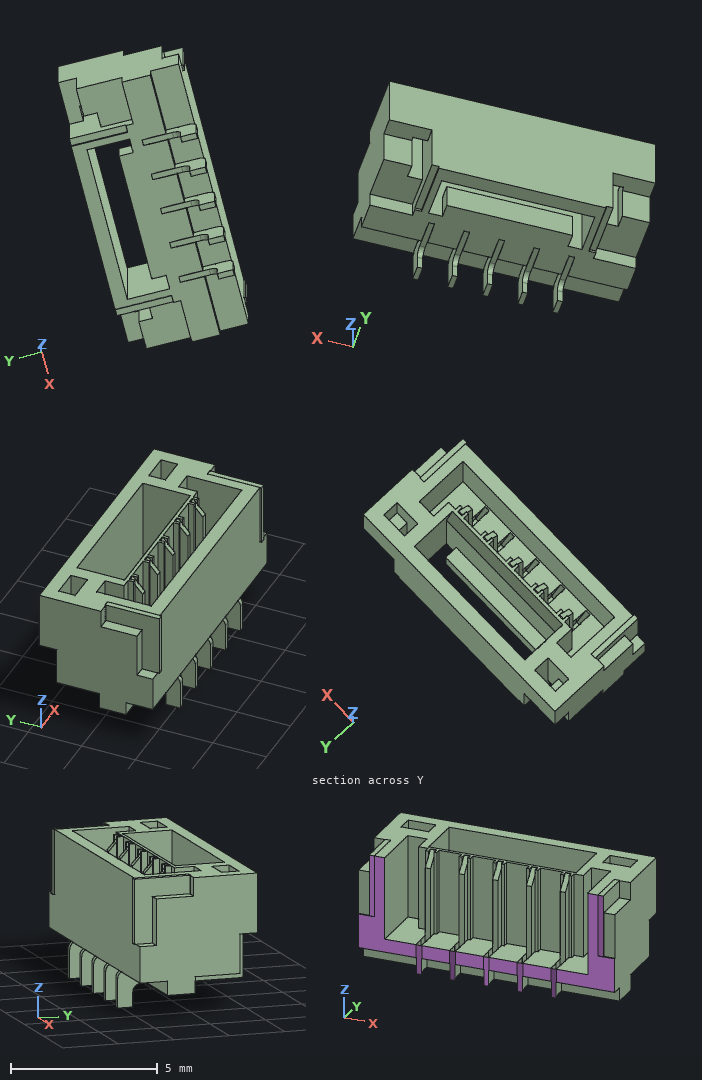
import cadquery as cq


LENGTH = 9.5
DEPTH = 4.25
HEIGHT = 4.05
WALL = 0.5
FLOOR_TOP = 1.01

NOTCH_DEPTH = 1.0
NOTCH_HEIGHT = 0.5

CAVITY_LENGTH = 7.505
CAVITY_BACK = 2.55
PARTITION_LENGTH = 6.1
PARTITION_FRONT = 1.84

WINDOW_LENGTH = 5.46
PARTITION_BACK = 2.25
WINDOW_BACK = DEPTH - WALL
CHAMFER_RUN = 0.285
CHAMFER_DROP = 0.49
LEDGE_LENGTH = 4.48
LEDGE_DEPTH = 0.5

HOLE_OUTER_X = 4.25
HOLE_STEP_X = 3.75
HOLE_INNER_X = 3.23
HOLE_DEPTH_Y = 0.62
HOLE_FLOOR = 2.53

REAR_ARM = 0.65
REAR_RECESS_TOP = 1.96
REAR_RECESS_ARM_TOP = 0.59
REAR_RECESS_FRONT = 1.995
REBATE_DEPTH = 0.25
REBATE_HEIGHT = 0.095

FITTING_SETBACK = 0.41
FITTING_THICKNESS = 0.2
FITTING_ARM = 0.65
FITTING_BACK = 1.97
FITTING_BOTTOM = 1.78
FITTING_RECESS_BACK = 1.94
FRONT_PROUD = 0.06

PIN_COUNT = 5
PIN_SPAN = 5.0
PIN_PITCH = PIN_SPAN / (PIN_COUNT - 1)
PIN_WIDTH = 0.2
BLADE_FRONT = 1.35
TIP_FLAT = 0.04
TIP_DROP = 0.5
WEDGE_FRONT = 0.56
LEG_BACK = 0.49
LEG_DROP = 0.81
BEND_RADIUS = 0.285

RIB_WIDTH = 0.42
RIB_DEPTH = 0.21
SLOT_WIDTH = 0.22

PIN_XS = [i * PIN_PITCH - PIN_SPAN / 2 for i in range(PIN_COUNT)]


def box(x_range, y_range, z_range):
    """Box between two limits along each axis."""
    (x0, x1), (y0, y1), (z0, z1) = x_range, y_range, z_range
    return cq.Workplane("XY").box(x1 - x0, y1 - y0, z1 - z0, centered=False).translate((x0, y0, z0))


def centred_box(length, y_range, z_range):
    """Box centred on X = 0."""
    return box((-length / 2, length / 2), y_range, z_range)


def side_profile(points, x0, x1):
    """Closed outline of (y, z) points, extruded from x0 to x1."""
    return cq.Workplane("YZ").polyline(points).close().extrude(x1 - x0).translate((x0, 0, 0))


def both_ends(shape):
    """The shape and its mirror image at the other end of the housing."""
    return shape.union(shape.mirror("YZ"))


def front_corner_outline(front, back):
    """L outline with one arm along the top and one down the front."""
    return [
        (front, HEIGHT),
        (back, HEIGHT),
        (back, HEIGHT - FITTING_ARM),
        (FITTING_ARM - FRONT_PROUD, HEIGHT - FITTING_ARM),
        (FITTING_ARM - FRONT_PROUD, FITTING_BOTTOM),
        (front, FITTING_BOTTOM),
    ]


def make_cavity():
    cavity = centred_box(CAVITY_LENGTH, (WALL, CAVITY_BACK), (FLOOR_TOP, HEIGHT))
    partition = centred_box(PARTITION_LENGTH, (PARTITION_FRONT, CAVITY_BACK), (FLOOR_TOP, HEIGHT))
    cavity = cavity.cut(partition)
    for x in PIN_XS:
        rib = box(
            (x - RIB_WIDTH / 2, x + RIB_WIDTH / 2),
            (PARTITION_FRONT - RIB_DEPTH, PARTITION_FRONT),
            (FLOOR_TOP, HEIGHT),
        )
        cavity = cavity.cut(rib)
    return cavity


def make_window():
    """Opening behind the partition, with a chamfered partition edge and a ledge at the bottom."""
    outline = [
        (WINDOW_BACK, 0),
        (WINDOW_BACK, HEIGHT),
        (PARTITION_BACK - CHAMFER_RUN, HEIGHT),
        (PARTITION_BACK, HEIGHT - CHAMFER_DROP),
        (PARTITION_BACK, 0),
    ]
    opening = side_profile(outline, -WINDOW_LENGTH / 2, WINDOW_LENGTH / 2)
    ledge = centred_box(LEDGE_LENGTH, (PARTITION_BACK, PARTITION_BACK + LEDGE_DEPTH), (0, FLOOR_TOP))
    return opening.cut(ledge)


def make_corner_holes():
    y_range = (WINDOW_BACK - HOLE_DEPTH_Y, WINDOW_BACK)
    blind_half = box((-HOLE_OUTER_X, -HOLE_STEP_X), y_range, (HOLE_FLOOR, HEIGHT))
    through_half = box((-HOLE_STEP_X, -HOLE_INNER_X), y_range, (0, HEIGHT))
    return both_ends(blind_half.union(through_half))


def make_rear_recesses():
    """Recesses reaching in to the walls of the window, each with a shallow rebate under the wall."""
    outline = [
        (DEPTH, 0),
        (DEPTH, REAR_RECESS_TOP),
        (DEPTH - REAR_ARM, REAR_RECESS_TOP),
        (DEPTH - REAR_ARM, REAR_RECESS_ARM_TOP),
        (REAR_RECESS_FRONT, REAR_RECESS_ARM_TOP),
        (REAR_RECESS_FRONT, 0),
    ]
    recess = side_profile(outline, -LENGTH / 2, -HOLE_INNER_X)
    rebate = box((-HOLE_INNER_X, REBATE_DEPTH - HOLE_INNER_X), (PARTITION_BACK, DEPTH), (0, REBATE_HEIGHT))
    return both_ends(recess.union(rebate))


def make_fitting():
    """Fitting plate at the -X end."""
    outer_x = FITTING_SETBACK - LENGTH / 2
    outline = front_corner_outline(-FRONT_PROUD, FITTING_BACK)
    return side_profile(outline, outer_x, outer_x + FITTING_THICKNESS)


def make_fitting_recesses():
    outline = front_corner_outline(0, FITTING_RECESS_BACK)
    return both_ends(side_profile(outline, -LENGTH / 2, FITTING_SETBACK - LENGTH / 2))


def make_pin(x):
    """Upright blade with a bevelled tip, a foot with a wedge on it, and a leg bent downwards."""
    outline = (
        cq.Workplane("YZ")
        .moveTo(PARTITION_FRONT, 0)
        .lineTo(PARTITION_FRONT, HEIGHT)
        .lineTo(PARTITION_FRONT - TIP_FLAT, HEIGHT)
        .lineTo(BLADE_FRONT, HEIGHT - TIP_DROP)
        .lineTo(BLADE_FRONT, NOTCH_HEIGHT)
        .lineTo(NOTCH_DEPTH, NOTCH_HEIGHT)
        .lineTo(WEDGE_FRONT, FLOOR_TOP)
        .lineTo(WEDGE_FRONT, NOTCH_HEIGHT)
        .lineTo(BEND_RADIUS - FRONT_PROUD, NOTCH_HEIGHT)
        .radiusArc((-FRONT_PROUD, NOTCH_HEIGHT - BEND_RADIUS), -BEND_RADIUS)
        .lineTo(-FRONT_PROUD, -LEG_DROP)
        .lineTo(LEG_BACK, -LEG_DROP)
        .lineTo(LEG_BACK, -BEND_RADIUS)
        .radiusArc((LEG_BACK + BEND_RADIUS, 0), BEND_RADIUS)
        .close()
    )
    return outline.extrude(PIN_WIDTH).translate((x - PIN_WIDTH / 2, 0, 0))


def make_pin_slots(x):
    """Wide slot for the foot, and a close one that opens the floor over the wedge and splits the rib."""
    foot_slot = box(
        (x - SLOT_WIDTH / 2, x + SLOT_WIDTH / 2),
        (NOTCH_DEPTH, PARTITION_FRONT - RIB_DEPTH),
        (0, FLOOR_TOP),
    )
    close_slot = box(
        (x - PIN_WIDTH / 2, x + PIN_WIDTH / 2),
        (WEDGE_FRONT, PARTITION_FRONT),
        (NOTCH_HEIGHT, HEIGHT),
    )
    return foot_slot.union(close_slot)


def make_housing(pins, fittings):
    housing = centred_box(LENGTH, (0, DEPTH), (0, HEIGHT))
    housing = housing.cut(centred_box(LENGTH, (0, NOTCH_DEPTH), (0, NOTCH_HEIGHT)))
    housing = housing.cut(make_cavity())
    housing = housing.cut(make_window())
    housing = housing.cut(make_corner_holes())
    housing = housing.cut(make_rear_recesses())
    housing = housing.cut(make_fitting_recesses())
    for x in PIN_XS:
        housing = housing.cut(make_pin_slots(x))
    for insert in pins + fittings:
        housing = housing.cut(insert)
    return housing


pins = [make_pin(x) for x in PIN_XS]
left_fitting = make_fitting()
fittings = [left_fitting, left_fitting.mirror("YZ")]
housing = make_housing(pins, fittings)

result = cq.Compound.makeCompound(
    [housing.val(), *[pin.val() for pin in pins], *[fitting.val() for fitting in fittings]]
)